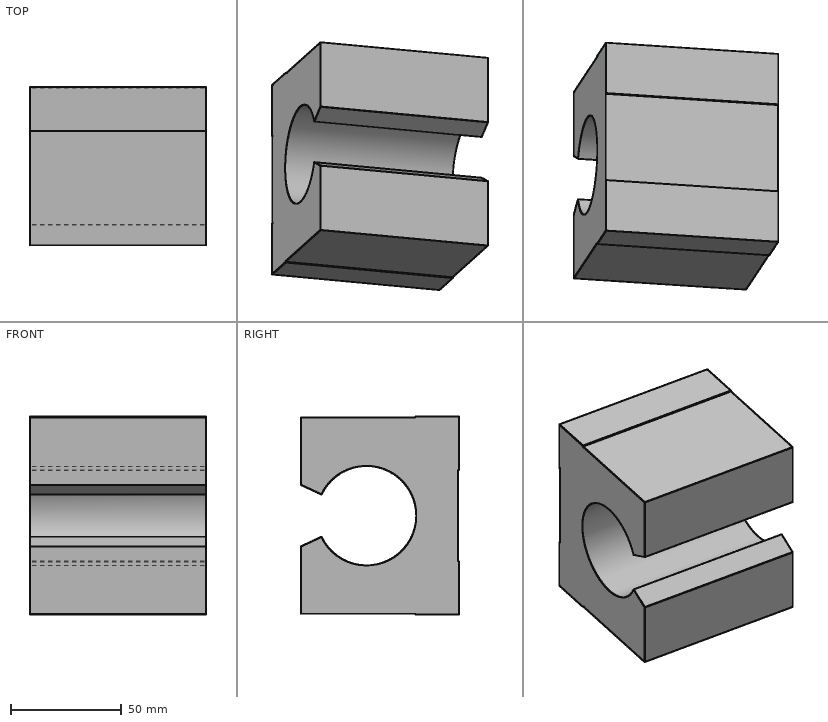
import cadquery as cq
import math

length = 80.0
depth = 72.0
height = 90.0

rear_band_depth = 20.1
relief = 0.405

channel_height = 41.4
channel_depth = 0.5

bore_diameter = 45.0
bore_to_front = 29.9
mouth_half_angle = 25.0

edge_break = 0.2

front = -depth / 2
rear = depth / 2
bore_y = front + bore_to_front


def block():
    """Block with a full-height rear band and a slightly lower front."""
    band = cq.Workplane("XY").box(length, rear_band_depth, height)
    band = band.translate((0, rear - rear_band_depth / 2, 0))
    body = cq.Workplane("XY").box(length, depth, height - 2 * relief)
    return body.union(band)


def rear_channel():
    """Cutter for the channel that runs the full length of the rear face."""
    cutter = cq.Workplane("XY").box(length, channel_depth, channel_height)
    return cutter.translate((0, rear - channel_depth / 2, 0))


def bore():
    """Cutter for the through bore."""
    return (
        cq.Workplane("YZ")
        .center(bore_y, 0)
        .circle(bore_diameter / 2)
        .extrude(length / 2, both=True)
    )


def mouth():
    """Wedge cutter from the bore axis that widens towards the front face."""
    half_opening = bore_to_front * math.tan(math.radians(mouth_half_angle))
    return (
        cq.Workplane("YZ")
        .polyline([(bore_y, 0), (front, half_opening), (front, -half_opening)])
        .close()
        .extrude(length / 2, both=True)
    )


body = block().cut(rear_channel()).cut(bore()).cut(mouth())
result = body.edges().chamfer(edge_break)